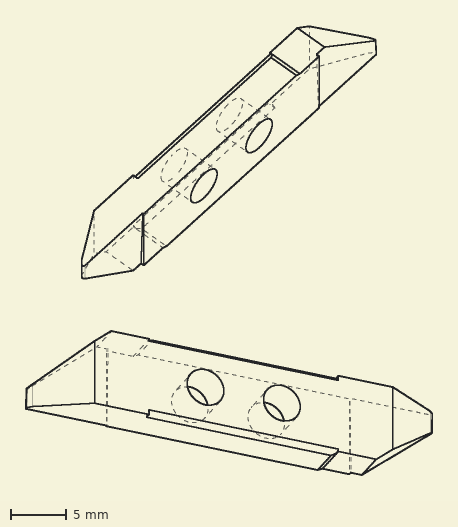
import cadquery as cq
import math

LENGTH = 40.0
WIDTH = 3.6
HEIGHT = 8.0

STEP_HEIGHT = 0.25
STEP_START = 8.85
STEP_END = 9.3
SHOULDER_END = 13.05
TIP_HEIGHT = 1.9

BEVEL_ANGLE = 30.0
LAND_ANGLE = 45.0
LAND_START_X = 1.05
TIP_RADIUS = 0.15
RECESS_START = 11.95
RECESS_DEPTH = 0.1
RELIEF_ANGLE = 1.5

CHAMFER_WIDTH = 0.55
CHAMFER_HEIGHT = 0.5

HOLE_DIAMETER = 3.6
HOLE_POSITIONS = (3.75, -3.75)

HALF_LENGTH = LENGTH / 2
HALF_WIDTH = WIDTH / 2
HALF_HEIGHT = HEIGHT / 2
MARGIN = 2.0

LAND = math.radians(LAND_ANGLE)
RELIEF = math.radians(RELIEF_ANGLE)
BEVEL_SLOPE = math.tan(math.radians(BEVEL_ANGLE))
LAND_SLOPE = math.tan(LAND)
APEX_TO_CENTRE = TIP_RADIUS / (math.cos(RELIEF) * LAND_SLOPE) + TIP_RADIUS / math.sin(LAND)
TIP_REACH = TIP_RADIUS * math.hypot(1, math.tan(RELIEF) / LAND_SLOPE)
APEX_SETBACK = APEX_TO_CENTRE - TIP_REACH
APEX_Y = HALF_LENGTH + APEX_SETBACK
EDGE_X = HALF_WIDTH - RECESS_DEPTH


def half_turn(solid):
    """Copy of a solid turned half a revolution about the X axis."""
    return solid.rotate((0, 0, 0), (1, 0, 0), 180)


def bar():
    """Rectangular bar long enough to hold the sharp, unrounded tips."""
    return cq.Workplane("XY").box(WIDTH, 2 * (APEX_Y + MARGIN), HEIGHT)


def shoulder_cutter():
    """Material above the step, the shoulder and the sloping end at +Y."""
    shoulder_z = HALF_HEIGHT - STEP_HEIGHT
    tip_z = TIP_HEIGHT - HALF_HEIGHT
    slope = (shoulder_z - tip_z) / (HALF_LENGTH - SHOULDER_END)
    far_y = APEX_Y + MARGIN
    far_z = tip_z - slope * (far_y - HALF_LENGTH)
    outline = [
        (STEP_START, HALF_HEIGHT),
        (STEP_END, shoulder_z),
        (SHOULDER_END, shoulder_z),
        (far_y, far_z),
        (far_y, HALF_HEIGHT),
    ]
    return cq.Workplane("YZ").polyline(outline).close().extrude(WIDTH, both=True)


def bevel_cutter():
    """Material outside the bevel and the narrow land that lead to the +Y tip."""
    land_start = APEX_Y - (EDGE_X - LAND_START_X) / LAND_SLOPE
    bevel_start = land_start - (LAND_START_X + HALF_WIDTH) / BEVEL_SLOPE
    far_y = APEX_Y + 2 * MARGIN
    far_x = EDGE_X + (far_y - APEX_Y) * LAND_SLOPE
    outline = [
        (-HALF_WIDTH, bevel_start),
        (LAND_START_X, land_start),
        (far_x, far_y),
        (-HALF_WIDTH, far_y),
    ]
    return cq.Workplane("XY").polyline(outline).close().extrude(HEIGHT, both=True)


def recess_cutter():
    """Tilted recess on the +X face, shallowest at the lower cutting edge."""
    relief = HEIGHT * math.tan(RELIEF)
    outline = [
        (EDGE_X, -HALF_HEIGHT),
        (WIDTH, -HALF_HEIGHT),
        (WIDTH, HALF_HEIGHT),
        (EDGE_X - relief, HALF_HEIGHT),
    ]
    depth = APEX_Y + MARGIN
    wedge = cq.Workplane("XZ").polyline(outline).close().extrude(-depth)
    return wedge.translate((0, RECESS_START, 0))


def chamfer_cutter():
    """Chamfer along the middle of the upper -X edge."""
    outline = [
        (-HALF_WIDTH, HALF_HEIGHT),
        (-HALF_WIDTH + CHAMFER_WIDTH, HALF_HEIGHT),
        (-HALF_WIDTH, HALF_HEIGHT - CHAMFER_HEIGHT),
    ]
    return cq.Workplane("XZ").polyline(outline).close().extrude(STEP_END, both=True)


def holes():
    """Two through holes across the width."""
    points = [(y, 0) for y in HOLE_POSITIONS]
    plane = cq.Workplane("YZ").pushPoints(points)
    return plane.circle(HOLE_DIAMETER / 2).extrude(WIDTH, both=True)


body = bar()
for make_cutter in (bevel_cutter, recess_cutter, shoulder_cutter):
    cutter = make_cutter()
    body = body.cut(cutter).cut(half_turn(cutter))

body = body.edges(">Y").fillet(TIP_RADIUS)
body = body.edges("<Y").fillet(TIP_RADIUS)

chamfer = chamfer_cutter()
result = body.cut(chamfer).cut(half_turn(chamfer)).cut(holes())